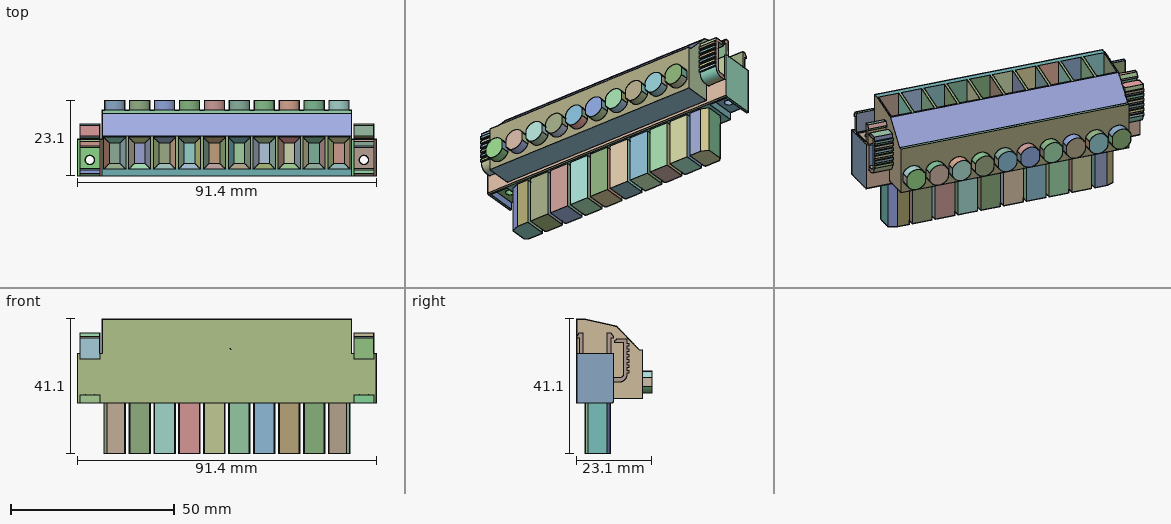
import cadquery as cq


total_length = 91.4
core_length = 76.3
pole_count = 10
pole_pitch = core_length / pole_count
core_depth = 20.2
core_height = 25.7
rear_underside_z = 1.4
rear_shoulder_z = 16.3
rear_shoulder_depth = 1.0
ridge_y = 12.25
ridge_z = 23.5
top_land_depth = 2.5

flange_depth = 11.3
flange_height = 15.2
flange_chamfer = 0.4
flange_length = (total_length - core_length) / 2
flange_center_x = (core_length + flange_length) / 2
flange_wall = 0.7
front_wall = 0.8
rear_wall = 0.8
front_notch_z = 13.5
base_channel_height = 2.5

entry_width = 6.8
entry_front_y = 2.1
entry_rear_y = 11.9
entry_taper = 1.7
entry_floor_z = 14.6
funnel_height = 3.1

pin_length = 15.45
pin_width = 6.6
pin_front_y = 2.65
pin_rear_y = 10.3
pin_edge = 0.3
end_front_edge_x = 1.0
end_front_edge_y = 0.8
end_rear_edge_x = 2.6
end_rear_edge_y = 1.1

screw_radius = 3.4
screw_flat_width = 6.2
screw_length = 2.9
screw_z = 6.4

latch_width = flange_length - 2 * flange_wall
latch_base_z = 6.4
latch_floor_z = 14.8
arm_top_z = 21.5
hook_tip_z = 20.4
hook_under_z = 19.8
front_arm_rear_y = 1.9
rear_arm_front_y = 9.2
rear_arm_rear_y = 10.5
hook_reach = 0.7
foot_ledge = 0.5
foot_height = 0.2
lever_rear_y = 15.45
lever_tip_y = 11.6
lever_top_z = 19.6
lever_thickness = 1.1
lever_foot_thickness = 1.4
lever_tip_chamfer = 0.6
lever_outer_radius = 2.5
lever_inner_radius = 1.1
rib_count = 6
rib_pitch = 1.65
rib_height = 0.8
rib_depth = 0.55
rib_first_z = 9.1
hole_diameter = 2.7
hole_y = 4.9


def box(x_center, width, y_min, y_max, z_min, z_max):
    """Box centred on x_center and spanning the given y and z ranges."""
    blank = cq.Workplane("XY").box(width, y_max - y_min, z_max - z_min, centered=(True, False, False))
    return blank.translate((x_center, y_min, z_min))


def pole_x(index):
    """X position of a pole, counted from the -X end."""
    return (index - (pole_count - 1) / 2) * pole_pitch


def make_core():
    """Sloped-back central prism that carries the ten poles."""
    return (
        cq.Workplane("YZ")
        .moveTo(0, 0)
        .lineTo(flange_depth - flange_chamfer, 0)
        .lineTo(flange_depth, flange_chamfer)
        .lineTo(flange_depth, rear_underside_z)
        .lineTo(core_depth, rear_underside_z)
        .lineTo(core_depth, rear_shoulder_z)
        .lineTo(core_depth - rear_shoulder_depth, rear_shoulder_z)
        .lineTo(ridge_y, ridge_z)
        .lineTo(top_land_depth, core_height)
        .lineTo(0, core_height)
        .close()
        .extrude(core_length / 2, both=True)
    )


def make_flanges():
    """Bar that projects past both ends of the core as the two flanges."""
    bar = box(0, total_length, 0, flange_depth, 0, flange_height)
    return bar.edges(">Y and <Z").chamfer(flange_chamfer)


def make_latch_hole(x_center):
    """Vertical hole that passes through a flange and its latch."""
    cylinder = cq.Workplane("XY").circle(hole_diameter / 2).extrude(core_height)
    return cylinder.translate((x_center, hole_y, 0))


def cut_flange_openings(body, x_center):
    """Latch cavity, front notch, blind bottom channel and vertical hole of one flange."""
    cavity = box(x_center, latch_width, front_wall, flange_depth, latch_base_z, flange_height)
    notch = box(x_center, latch_width, 0, front_wall, front_notch_z, flange_height)
    channel = box(x_center, latch_width, 0, flange_depth - rear_wall, 0, base_channel_height)
    return body.cut(cavity).cut(notch).cut(channel).cut(make_latch_hole(x_center))


def make_entry(x_center):
    """Straight-sided wire entry that ends in a funnel narrowing to a rectangular floor."""
    entry_depth = entry_rear_y - entry_front_y
    funnel = (
        cq.Workplane("XY")
        .rect(entry_width - 2 * entry_taper, entry_depth - 2 * entry_taper)
        .workplane(offset=funnel_height)
        .rect(entry_width, entry_depth)
        .loft(ruled=True)
    )
    funnel = funnel.translate((x_center, (entry_front_y + entry_rear_y) / 2, entry_floor_z))
    shaft = box(
        x_center, entry_width, entry_front_y, entry_rear_y,
        entry_floor_z + funnel_height, core_height,
    )
    return shaft.union(funnel)


def make_pin(index):
    """Contact pin with lightly broken front edges; the row's two outer sides have wider bevels."""
    half = pin_width / 2
    section = [
        (half - pin_edge, pin_front_y),
        (half, pin_front_y + pin_edge),
        (half, pin_rear_y),
    ]
    end_section = [
        (half - end_front_edge_x, pin_front_y),
        (half, pin_front_y + end_front_edge_y),
        (half, pin_rear_y - end_rear_edge_y),
        (half - end_rear_edge_x, pin_rear_y),
    ]
    right = end_section if index == pole_count - 1 else section
    left = end_section if index == 0 else section
    outline = right + [(-x, y) for x, y in reversed(left)]
    pin = cq.Workplane("XY").polyline(outline).close().extrude(-pin_length)
    return pin.translate((pole_x(index), 0, 0))


def make_screw_head(x_center):
    """Round clamp screw head with a flat on each side, standing on the rear face."""
    head = cq.Workplane("XZ").circle(screw_radius).extrude(-screw_length)
    head = head.translate((x_center, core_depth, screw_z))
    limits = box(
        x_center, screw_flat_width, core_depth, core_depth + screw_length,
        screw_z - screw_radius, screw_z + screw_radius,
    )
    return head.intersect(limits)


def make_housing():
    body = make_core().union(make_flanges())
    for index in range(pole_count):
        body = body.cut(make_entry(pole_x(index)))
        body = body.union(make_pin(index))
        body = body.union(make_screw_head(pole_x(index)))
    for side in (-1, 1):
        body = cut_flange_openings(body, side * flange_center_x)
    return body


def extrude_latch_profile(points):
    """Closed (y, z) outline extruded over the latch width, centred on x = 0."""
    return cq.Workplane("YZ").polyline(points).close().extrude(latch_width / 2, both=True)


def make_latch_base():
    """Block in the flange with two hooked arms that face away from each other."""
    ledge_z = latch_floor_z + foot_height
    return extrude_latch_profile([
        (front_wall, latch_base_z),
        (flange_depth, latch_base_z),
        (flange_depth, latch_floor_z),
        (rear_arm_rear_y, latch_floor_z),
        (rear_arm_rear_y, hook_under_z),
        (rear_arm_rear_y + hook_reach, hook_under_z),
        (rear_arm_rear_y + hook_reach, hook_tip_z),
        (rear_arm_rear_y, arm_top_z),
        (rear_arm_front_y, arm_top_z),
        (rear_arm_front_y, ledge_z),
        (rear_arm_front_y - foot_ledge, ledge_z),
        (rear_arm_front_y - foot_ledge, latch_floor_z),
        (front_arm_rear_y + foot_ledge, latch_floor_z),
        (front_arm_rear_y + foot_ledge, ledge_z),
        (front_arm_rear_y, ledge_z),
        (front_arm_rear_y, arm_top_z),
        (front_wall, arm_top_z),
        (front_wall - hook_reach, hook_tip_z),
        (front_wall - hook_reach, hook_under_z),
        (front_wall, hook_under_z),
    ])


def make_lever():
    """J-shaped release lever behind the base, ribbed for grip on its rear face."""
    lever = box(0, latch_width, flange_depth, lever_rear_y, latch_base_z, lever_top_z)
    lever = lever.edges(">Y and <Z").fillet(lever_outer_radius)
    inner_rear_y = lever_rear_y - lever_thickness
    opening = box(
        0, latch_width, flange_depth, inner_rear_y,
        latch_base_z + lever_foot_thickness, lever_top_z - lever_thickness,
    )
    opening = opening.edges(">Y and <Z").fillet(lever_inner_radius)
    tip_gap = box(
        0, latch_width, flange_depth, lever_tip_y,
        latch_base_z + lever_foot_thickness, lever_top_z,
    )
    lever = lever.cut(opening).cut(tip_gap)
    lever = lever.edges("|X").edges(
        cq.selectors.NearestToPointSelector((0, lever_tip_y, lever_top_z))
    ).chamfer(lever_tip_chamfer)
    for index in range(rib_count):
        rib_z = rib_first_z + index * rib_pitch
        lever = lever.union(
            box(0, latch_width, lever_rear_y, lever_rear_y + rib_depth, rib_z, rib_z + rib_height)
        )
    return lever


def make_latch(side):
    """Complete latch seated in the flange on the given side (-1 or 1)."""
    x_center = side * flange_center_x
    latch = make_latch_base().union(make_lever()).translate((x_center, 0, 0))
    return latch.cut(make_latch_hole(x_center))


housing = make_housing()
latches = [make_latch(side) for side in (-1, 1)]
result = cq.Compound.makeCompound([housing.val()] + [latch.val() for latch in latches])